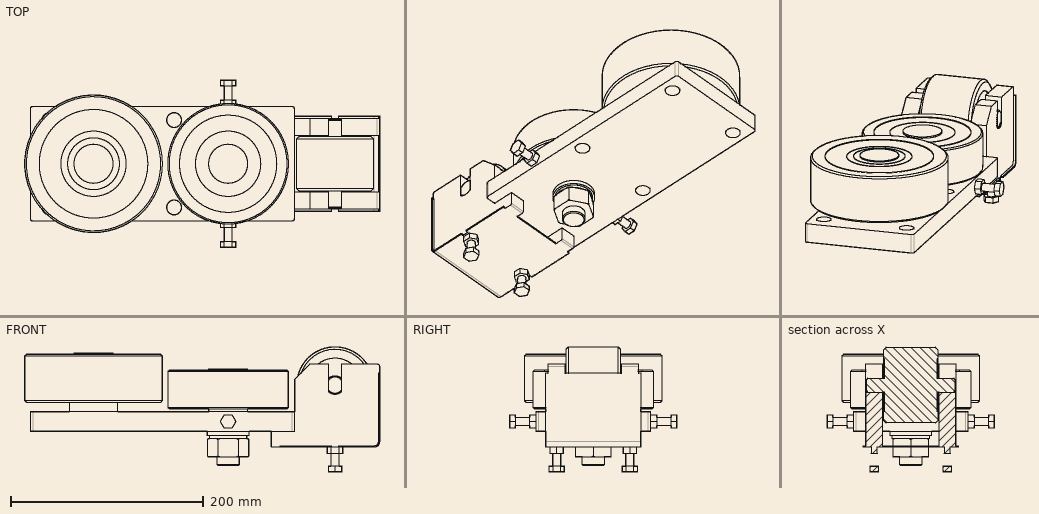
import cadquery as cq
import math


PLATE_LEFT = -65.8
PLATE_LENGTH = 275.0
PLATE_WIDTH = 119.5
PLATE_THICKNESS = 20.5
PLATE_CORNER_RADIUS = 2.5
PLATE_RIGHT = PLATE_LEFT + PLATE_LENGTH
MOUNT_HOLE_DIAMETER = 15.0
MOUNT_HOLE_FIRST_X = PLATE_LEFT + 20.0
MOUNT_HOLE_PITCH_X = 129.7
MOUNT_HOLE_Y = 45.5

LARGE_RADIUS = 71.7
LARGE_BOTTOM = 30.0
LARGE_TOP = 80.2
LARGE_CHAMFER = 2.0
LARGE_SPACER_RADIUS = 25.0
LARGE_COVER_RADIUS = 56.5
LARGE_SLEEVE_RADIUS = 27.0

SMALL_X = 140.0
SMALL_RADIUS = 63.0
SMALL_BOTTOM = 23.3
SMALL_TOP = 63.5
SMALL_CHAMFER = 1.5
SMALL_COVER_RADIUS = 50.5
STUD_RADIUS = 12.0
STUD_END = -35.5
STUD_CHAMFER = 1.0

INNER_RING_RADIUS = 34.0
AXLE_RADIUS = 20.5
COVER_RECESS = 0.7
INNER_RING_RECESS = 0.5
AXLE_RISE = 1.0

WASHER_RADIUS = 21.8
WASHER_BOTTOM = -4.5
COLLAR_RADIUS = 19.5
COLLAR_BOTTOM = -7.8
NUT_FLATS = 37.5
NUT_BOTTOM = -26.5
NUT_TRIM_RADIUS = 20.7
NUT_TRIM_HEIGHT = 1.5

OVERALL_LENGTH = 369.5
BRACKET_LEFT = 184.8
BRACKET_RIGHT = OVERALL_LENGTH - LARGE_RADIUS
BRACKET_BOTTOM = -16.5
BRACKET_TOP = 70.2
BRACKET_BEVEL = 16.3
WALL_INNER_Y = 29.2
WALL_OUTER_Y = 47.0
WALL_TOP_FILLET = 3.0
WALL_FOOT_FILLET = 1.5
SHEET_THICKNESS = 1.5
SHEET_HALF_WIDTH = 49.5
SHEET_LEFT = 194.0
SHEET_TOP = 60.5
SHEET_BEND_RADIUS = 6.0
SHEET_NOTCH_WIDTH = 7.0

ROLLER_X = 251.5
ROLLER_Z = 48.0
ROLLER_RADIUS = 40.0
ROLLER_HALF_WIDTH = 28.5
ROLLER_CHAMFER = 2.5
ROLLER_RECESS_RADIUS = 28.0
ROLLER_RECESS_DEPTH = 1.0
SLOT_WIDTH = 13.5
AXLE_END_RADIUS = 9.5
AXLE_END_CHAMFER = 1.0
AXLE_HALF_LENGTH = 46.2

SCREW_FLATS = 14.0
SCREW_SHANK_DIAMETER = 8.5
SCREW_HEAD_HEIGHT = 6.0
SCREW_NUT_HEIGHT = 6.5
SIDE_SCREW_REACH = 87.05
BRACKET_SCREW_END = -42.0
SIDE_HEAD_TURN = 0
BRACKET_HEAD_TURN = 30


def hexagon(across_flats, height):
    """Hexagonal prism from z = 0 up, with two corners on the X axis."""
    return cq.Workplane("XY").polygon(6, across_flats / math.cos(math.pi / 6)).extrude(height)


def adjusting_screw(length, head_turn):
    """Screw pointing up from z = 0, its lock nut seated at z = length, its head turned in degrees."""
    shank = cq.Workplane("XY").circle(SCREW_SHANK_DIAMETER / 2).extrude(length)
    head = hexagon(SCREW_FLATS, SCREW_HEAD_HEIGHT)
    lock_nut = hexagon(SCREW_FLATS, SCREW_NUT_HEIGHT).translate((0, 0, length - SCREW_NUT_HEIGHT))
    return shank.union(head.rotate((0, 0, 0), (0, 0, 1), head_turn)).union(lock_nut)


def make_plate():
    """Base plate with its mounting holes and one fixed adjusting screw on each long side."""
    plate = (
        cq.Workplane("XY")
        .box(PLATE_LENGTH, PLATE_WIDTH, PLATE_THICKNESS, centered=(False, True, False))
        .edges("|Z")
        .fillet(PLATE_CORNER_RADIUS)
        .translate((PLATE_LEFT, 0, 0))
    )
    hole_centres = [
        (MOUNT_HOLE_FIRST_X + column * MOUNT_HOLE_PITCH_X, side * MOUNT_HOLE_Y)
        for column in (0, 1)
        for side in (-1, 1)
    ]
    holes = cq.Workplane("XY").pushPoints(hole_centres).circle(MOUNT_HOLE_DIAMETER / 2)
    plate = plate.cut(holes.extrude(PLATE_THICKNESS))
    stud_hole = cq.Workplane("XY").center(SMALL_X, 0).circle(STUD_RADIUS).extrude(PLATE_THICKNESS)
    plate = plate.cut(stud_hole)

    screw = (
        adjusting_screw(SIDE_SCREW_REACH - PLATE_WIDTH / 2, SIDE_HEAD_TURN)
        .rotate((0, 0, 0), (1, 0, 0), -90)
        .translate((SMALL_X, -SIDE_SCREW_REACH, PLATE_THICKNESS / 2))
    )
    return plate.union(screw).union(screw.mirror("XZ"))


def wheel_body(radius, bottom, top, chamfer, cover_radius, inner_ring_bore):
    """Chamfered wheel on the Z axis: recessed cover and inner ring, raised axle end."""
    tread = cq.Workplane("XY", origin=(0, 0, bottom)).circle(radius).extrude(top - bottom)
    face = cq.Workplane("XY", origin=(0, 0, top))
    cover_recess = face.circle(cover_radius).circle(INNER_RING_RADIUS).extrude(-COVER_RECESS)
    ring_recess = face.circle(INNER_RING_RADIUS).circle(inner_ring_bore).extrude(-INNER_RING_RECESS)
    axle_end = face.circle(AXLE_RADIUS).extrude(AXLE_RISE)
    return tread.edges().chamfer(chamfer).cut(cover_recess).cut(ring_recess).union(axle_end)


def make_large_wheel():
    """Large wheel on a spacer that stands on the plate."""
    spacer = (
        cq.Workplane("XY", origin=(0, 0, PLATE_THICKNESS))
        .circle(LARGE_SPACER_RADIUS)
        .extrude(LARGE_BOTTOM - PLATE_THICKNESS)
    )
    wheel = wheel_body(
        LARGE_RADIUS, LARGE_BOTTOM, LARGE_TOP, LARGE_CHAMFER, LARGE_COVER_RADIUS, LARGE_SLEEVE_RADIUS
    )
    return wheel.union(spacer)


def make_small_wheel():
    """Small wheel with a spacer and a stud that passes through the plate."""
    spacer = (
        cq.Workplane("XY", origin=(0, 0, PLATE_THICKNESS))
        .circle(AXLE_RADIUS)
        .extrude(SMALL_BOTTOM - PLATE_THICKNESS)
    )
    stud = (
        cq.Workplane("XY", origin=(0, 0, STUD_END))
        .circle(STUD_RADIUS)
        .extrude(SMALL_BOTTOM - STUD_END)
        .faces("<Z")
        .chamfer(STUD_CHAMFER)
    )
    wheel = wheel_body(
        SMALL_RADIUS, SMALL_BOTTOM, SMALL_TOP, SMALL_CHAMFER, SMALL_COVER_RADIUS, AXLE_RADIUS
    )
    return wheel.union(spacer).union(stud).translate((SMALL_X, 0, 0))


def make_stud_nut():
    """Hex nut with its washer and collar, on the stud under the plate."""
    washer = cq.Workplane("XY").circle(WASHER_RADIUS).extrude(WASHER_BOTTOM)
    collar = cq.Workplane("XY").circle(COLLAR_RADIUS).extrude(COLLAR_BOTTOM)
    height = COLLAR_BOTTOM - NUT_BOTTOM
    trim = (
        cq.Workplane("XY")
        .circle(NUT_TRIM_RADIUS + NUT_TRIM_HEIGHT)
        .extrude(height)
        .edges()
        .chamfer(NUT_TRIM_HEIGHT)
    )
    nut = hexagon(NUT_FLATS, height).intersect(trim).translate((0, 0, NUT_BOTTOM))
    bore = cq.Workplane("XY").circle(STUD_RADIUS).extrude(NUT_BOTTOM)
    return nut.union(collar).union(washer).cut(bore).translate((SMALL_X, 0, 0))


def make_side_wall():
    """Wall on the -Y side, stepped under the plate and slotted for the roller axle."""
    wall = (
        cq.Workplane("XZ", origin=(0, -WALL_INNER_Y, 0))
        .moveTo(BRACKET_LEFT, BRACKET_BOTTOM)
        .lineTo(BRACKET_RIGHT, BRACKET_BOTTOM)
        .lineTo(BRACKET_RIGHT, BRACKET_TOP)
        .lineTo(PLATE_RIGHT + BRACKET_BEVEL, BRACKET_TOP)
        .lineTo(PLATE_RIGHT, BRACKET_TOP - BRACKET_BEVEL)
        .lineTo(PLATE_RIGHT, 0)
        .lineTo(BRACKET_LEFT, 0)
        .close()
        .extrude(WALL_OUTER_Y - WALL_INNER_Y)
    )
    wall = wall.edges("|Y and >X and >Z").fillet(WALL_TOP_FILLET)
    wall = wall.edges("|Y and >X and <Z").fillet(SHEET_BEND_RADIUS)
    wall = wall.edges("|Y and <X and <Z").fillet(WALL_FOOT_FILLET)

    slot_half = SLOT_WIDTH / 2
    slot_corner_z = ROLLER_Z - math.sqrt(AXLE_END_RADIUS**2 - slot_half**2)
    slot = (
        cq.Workplane("XZ", origin=(ROLLER_X, 0, 0))
        .moveTo(-slot_half, BRACKET_TOP)
        .lineTo(-slot_half, slot_corner_z)
        .threePointArc((0, ROLLER_Z - AXLE_END_RADIUS), (slot_half, slot_corner_z))
        .lineTo(slot_half, BRACKET_TOP)
        .close()
        .extrude(WALL_OUTER_Y)
    )
    return wall.cut(slot)


def make_sheet():
    """Bent sheet along the bottom and back, notched at each edge below the screws."""
    bend_inner = SHEET_BEND_RADIUS - SHEET_THICKNESS
    sheet = (
        cq.Workplane("XZ", origin=(0, SHEET_HALF_WIDTH, 0))
        .moveTo(SHEET_LEFT, BRACKET_BOTTOM)
        .lineTo(BRACKET_RIGHT - SHEET_BEND_RADIUS, BRACKET_BOTTOM)
        .radiusArc((BRACKET_RIGHT, BRACKET_BOTTOM + SHEET_BEND_RADIUS), -SHEET_BEND_RADIUS)
        .lineTo(BRACKET_RIGHT, SHEET_TOP)
        .lineTo(BRACKET_RIGHT - SHEET_THICKNESS, SHEET_TOP)
        .lineTo(BRACKET_RIGHT - SHEET_THICKNESS, BRACKET_BOTTOM + SHEET_BEND_RADIUS)
        .radiusArc(
            (BRACKET_RIGHT - SHEET_BEND_RADIUS, BRACKET_BOTTOM + SHEET_THICKNESS), bend_inner
        )
        .lineTo(SHEET_LEFT, BRACKET_BOTTOM + SHEET_THICKNESS)
        .close()
        .extrude(2 * SHEET_HALF_WIDTH)
    )
    notch_depth = SHEET_HALF_WIDTH - WALL_OUTER_Y
    for side in (-1, 1):
        notch = (
            cq.Workplane("XY")
            .box(SHEET_NOTCH_WIDTH, notch_depth, SHEET_THICKNESS, centered=(True, True, False))
            .translate((ROLLER_X, side * (SHEET_HALF_WIDTH - notch_depth / 2), BRACKET_BOTTOM))
        )
        sheet = sheet.cut(notch)
    return sheet


def make_bracket():
    """Welded bracket: sheet, two side walls and one fixed adjusting screw under each wall."""
    screw = adjusting_screw(BRACKET_BOTTOM - BRACKET_SCREW_END, BRACKET_HEAD_TURN).translate(
        (ROLLER_X, -(WALL_INNER_Y + WALL_OUTER_Y) / 2, BRACKET_SCREW_END)
    )
    half = make_side_wall().union(screw)
    return make_sheet().union(half).union(half.mirror("XZ"))


def make_roller():
    """Roller with recessed end faces and flattened axle ends that rest in the slots."""
    roller = (
        cq.Workplane("XZ", origin=(0, ROLLER_HALF_WIDTH, 0))
        .circle(ROLLER_RADIUS)
        .extrude(2 * ROLLER_HALF_WIDTH)
        .edges()
        .chamfer(ROLLER_CHAMFER)
    )
    recess = (
        cq.Workplane("XZ", origin=(0, -ROLLER_HALF_WIDTH, 0))
        .circle(ROLLER_RECESS_RADIUS)
        .extrude(-ROLLER_RECESS_DEPTH)
    )
    roller = roller.cut(recess).cut(recess.mirror("XZ"))
    axle_length = 2 * AXLE_HALF_LENGTH
    round_bar = (
        cq.Workplane("XZ", origin=(0, AXLE_HALF_LENGTH, 0))
        .circle(AXLE_END_RADIUS)
        .extrude(axle_length)
        .edges()
        .chamfer(AXLE_END_CHAMFER)
    )
    axle = round_bar.intersect(cq.Workplane("XY").box(SLOT_WIDTH, axle_length, 2 * AXLE_END_RADIUS))
    return roller.union(axle).translate((ROLLER_X, 0, ROLLER_Z))


plate = make_plate()
large_wheel = make_large_wheel()
small_wheel = make_small_wheel()
stud_nut = make_stud_nut()
bracket = make_bracket()
roller = make_roller()

result = cq.Compound.makeCompound(
    [
        plate.val(),
        large_wheel.val(),
        small_wheel.val(),
        stud_nut.val(),
        bracket.val(),
        roller.val(),
    ]
)